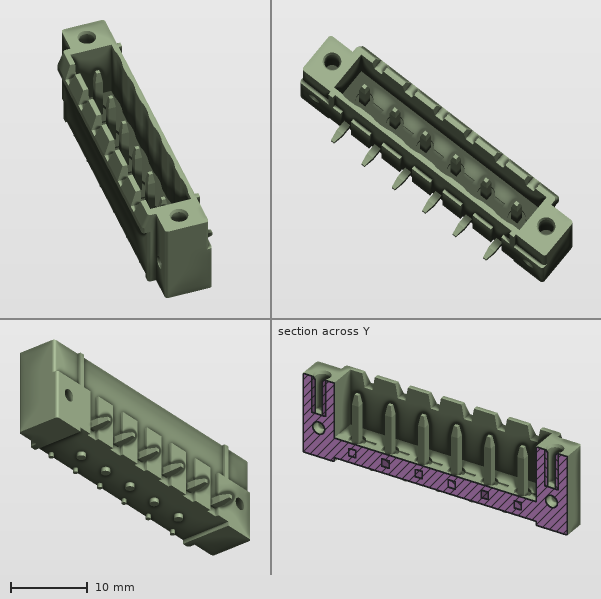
import cadquery as cq


LENGTH = 40.65
HEIGHT = 12.0
EAR_FRONT = -6.5
WALL_FRONT = -7.6
LIP_FRONT = -8.4
WALL_HALF_LENGTH = 16.6
CORNER_RADIUS = 0.4

CORE_BACK = -0.5
LEDGE_HEIGHT = 7.07
RIB_WIDTH = 0.75
PIN_SLOT_WIDTH = 2.05
END_PAD_EDGE = 13.4

LIP_SLOPE_HEIGHT = 2.07
LIP_DEPTH = 3.05
LIP_SLOPE_BOTTOM = HEIGHT - LIP_SLOPE_HEIGHT
LIP_BOTTOM = HEIGHT - LIP_DEPTH

PIN_COUNT = 6
PITCH = 5.1
PIN_Y = -4.1
PIN_SIZE = 1.0
PIN_TIP_SIZE = 0.53
PIN_TAPER = 1.5
PIN_TOP_SETBACK = 1.45
PIN_TOP = HEIGHT - PIN_TOP_SETBACK
TAIL_Z = 2.2
TAIL_END = 2.6
PIN_XS = [(i - (PIN_COUNT - 1) / 2) * PITCH for i in range(PIN_COUNT)]
GAP_XS = [x + PITCH / 2 for x in PIN_XS[:-1]]

CAVITY_HALF_LENGTH = 15.5
CAVITY_FRONT = -6.9
CAVITY_BACK = -1.2
CAVITY_FLOOR = 3.65
SCALLOP_CHORD = 3.25
SCALLOP_DEPTH = 0.2
NOTCH_TOP_WIDTH = 1.9
NOTCH_BOTTOM_WIDTH = 1.18

RECESS_DEPTH = 0.5
KEYWAY_DEPTH = 0.25
RECESS_DIAMETER = 2.3
KEYWAY_WIDTH = 0.95
KEYWAY_REACH = CAVITY_HALF_LENGTH + PIN_XS[0]

RELIEF_HEIGHT = 0.6
SMALL_PEG_DIAMETER = 0.7
SMALL_PEG_SETBACK = 0.5
SMALL_PEG_Y = WALL_FRONT + SMALL_PEG_SETBACK
LARGE_PEG_DIAMETER = 1.2
LARGE_PEG_Y = PIN_Y

EAR_HOLE_X = 17.9
CROSS_HOLE_DIAMETER = 1.75
CROSS_HOLE_Z = 4.4
SLEEVE_Y = -3.78
SLEEVE_DIAMETER = 2.7
SLEEVE_BORE = 2.05
MOUTH_DIAMETER = 2.45
MOUTH_DEPTH = 0.4
SLEEVE_LENGTH = 5.5


def block(x0, x1, y0, y1, z0, z1):
    """Axis-aligned box between two opposite corners."""
    return cq.Workplane("XY").box(x1 - x0, y1 - y0, z1 - z0, centered=False).translate((x0, y0, z0))


def upright_cylinder(diameter, x, y, z0, z1):
    """Cylinder along Z."""
    return cq.Workplane("XY", origin=(x, y, z0)).circle(diameter / 2).extrude(z1 - z0)


def housing_core():
    """Ears and central wall up to the core back face, with rounded upright corners."""
    ears = block(-LENGTH / 2, LENGTH / 2, EAR_FRONT, CORE_BACK, 0, HEIGHT)
    ears = ears.edges("|Z").fillet(CORNER_RADIUS)
    wall = block(-WALL_HALF_LENGTH, WALL_HALF_LENGTH, WALL_FRONT, PIN_Y, 0, LIP_BOTTOM)
    wall = wall.edges("|Z and <Y").fillet(CORNER_RADIUS)
    return ears.union(wall)


def lip():
    """Sloped lip along the top of the front wall, its two end edges rounded."""
    profile = [
        (PIN_Y, HEIGHT),
        (WALL_FRONT, HEIGHT),
        (LIP_FRONT, LIP_SLOPE_BOTTOM),
        (LIP_FRONT, LIP_BOTTOM),
        (PIN_Y, LIP_BOTTOM),
    ]
    bar = cq.Workplane("YZ", origin=(-WALL_HALF_LENGTH, 0, 0)).polyline(profile).close()
    bar = bar.extrude(2 * WALL_HALF_LENGTH)
    end_edges = bar.faces("<X or >X").edges()
    front_edges = end_edges.filter(lambda edge: edge.Center().y < WALL_FRONT)
    return front_edges.fillet(CORNER_RADIUS)


def back_pads():
    """Pads on the back face below the ledge, and two ribs that run on to the top."""
    pads = block(-LENGTH / 2, LENGTH / 2, PIN_Y, 0, 0, LEDGE_HEIGHT)
    pads = pads.edges("|Z and >Y").fillet(CORNER_RADIUS)
    slot_spans = [(x - PIN_SLOT_WIDTH / 2, x + PIN_SLOT_WIDTH / 2) for x in PIN_XS]
    slot_spans[0] = (-END_PAD_EDGE, slot_spans[0][1])
    slot_spans[-1] = (slot_spans[-1][0], END_PAD_EDGE)
    for left, right in slot_spans:
        pads = pads.cut(block(left, right, CORE_BACK, 0, 0, LEDGE_HEIGHT))
    rib_inner = CAVITY_HALF_LENGTH - RIB_WIDTH
    pads = pads.union(block(rib_inner, CAVITY_HALF_LENGTH, CORE_BACK, 0, 0, HEIGHT))
    pads = pads.union(block(-CAVITY_HALF_LENGTH, -rib_inner, CORE_BACK, 0, 0, HEIGHT))
    return pads


def cavity():
    """Mating cavity, its back wall scalloped behind each pin."""
    outline = (
        cq.Workplane("XY", origin=(0, 0, CAVITY_FLOOR))
        .moveTo(CAVITY_HALF_LENGTH, CAVITY_FRONT)
        .lineTo(-CAVITY_HALF_LENGTH, CAVITY_FRONT)
        .lineTo(-CAVITY_HALF_LENGTH, CAVITY_BACK)
    )
    for x in PIN_XS:
        outline = outline.lineTo(x - SCALLOP_CHORD / 2, CAVITY_BACK)
        outline = outline.threePointArc(
            (x, CAVITY_BACK + SCALLOP_DEPTH),
            (x + SCALLOP_CHORD / 2, CAVITY_BACK),
        )
    outline = outline.lineTo(CAVITY_HALF_LENGTH, CAVITY_BACK).close()
    return outline.extrude(HEIGHT - CAVITY_FLOOR)


def notch(x):
    """Tapered notch through the front wall, in line with a pin."""
    profile = [
        (x - NOTCH_TOP_WIDTH / 2, HEIGHT),
        (x + NOTCH_TOP_WIDTH / 2, HEIGHT),
        (x + NOTCH_BOTTOM_WIDTH / 2, LIP_SLOPE_BOTTOM),
        (x - NOTCH_BOTTOM_WIDTH / 2, LIP_SLOPE_BOTTOM),
    ]
    wedge = cq.Workplane("XZ", origin=(0, PIN_Y, 0)).polyline(profile).close()
    return wedge.extrude(PIN_Y - LIP_FRONT)


def keyhole_recess(x):
    """Round recess around a pin with a shallower keyway toward -X."""
    ring = upright_cylinder(RECESS_DIAMETER, x, PIN_Y, CAVITY_FLOOR - RECESS_DEPTH, CAVITY_FLOOR)
    keyway = block(
        x - KEYWAY_REACH,
        x,
        PIN_Y - KEYWAY_WIDTH / 2,
        PIN_Y + KEYWAY_WIDTH / 2,
        CAVITY_FLOOR - KEYWAY_DEPTH,
        CAVITY_FLOOR,
    )
    return ring.union(keyway)


def cross_hole(x):
    """Hole through an ear from front to back."""
    hole = cq.Workplane("XZ", origin=(x, 0, CROSS_HOLE_Z)).circle(CROSS_HOLE_DIAMETER / 2)
    return hole.extrude(-EAR_FRONT)


def underside_relief():
    """Clearance under the housing between its two feet."""
    return block(-CAVITY_HALF_LENGTH, CAVITY_HALF_LENGTH, LIP_FRONT, 0, 0, RELIEF_HEIGHT)


def make_pin(x):
    """Square pin bent at a right angle, tapered at the contact tip and at the tail."""
    half = PIN_SIZE / 2
    taper_start = PIN_TOP - PIN_TAPER
    tail_taper_start = TAIL_END - PIN_TAPER
    contact = block(x - half, x + half, PIN_Y - half, PIN_Y + half, TAIL_Z - half, taper_start)
    tail = block(x - half, x + half, PIN_Y, tail_taper_start, TAIL_Z - half, TAIL_Z + half)
    contact_tip = (
        cq.Workplane("XY", origin=(x, PIN_Y, taper_start))
        .rect(PIN_SIZE, PIN_SIZE)
        .workplane(offset=PIN_TAPER)
        .rect(PIN_TIP_SIZE, PIN_TIP_SIZE)
        .loft()
    )
    tail_tip = (
        cq.Workplane("XZ", origin=(x, tail_taper_start, TAIL_Z))
        .rect(PIN_SIZE, PIN_SIZE)
        .workplane(offset=-PIN_TAPER)
        .rect(PIN_TIP_SIZE, PIN_TIP_SIZE)
        .loft()
    )
    return contact.union(tail).union(contact_tip).union(tail_tip)


def sleeve_pocket(x):
    """Blind round pocket that holds a sleeve."""
    return upright_cylinder(SLEEVE_DIAMETER, x, SLEEVE_Y, HEIGHT - SLEEVE_LENGTH, HEIGHT)


def make_sleeve(x):
    """Insert sleeve, flush with the ear top, its bore flared at the mouth."""
    bore = upright_cylinder(SLEEVE_BORE, x, SLEEVE_Y, HEIGHT - SLEEVE_LENGTH, HEIGHT)
    flare = (
        cq.Workplane("XY", origin=(x, SLEEVE_Y, HEIGHT - MOUTH_DEPTH))
        .circle(SLEEVE_BORE / 2)
        .workplane(offset=MOUTH_DEPTH)
        .circle(MOUTH_DIAMETER / 2)
        .loft()
    )
    return sleeve_pocket(x).cut(bore).cut(flare)


def make_housing(pins):
    """Housing with every opening cut, including the bent channels that the pins fill."""
    body = housing_core().union(lip()).union(back_pads())
    body = body.cut(cavity()).cut(underside_relief())
    for x in PIN_XS:
        body = body.cut(notch(x)).cut(keyhole_recess(x))
        body = body.union(upright_cylinder(SMALL_PEG_DIAMETER, x, SMALL_PEG_Y, 0, RELIEF_HEIGHT))
    for x in GAP_XS:
        body = body.union(upright_cylinder(LARGE_PEG_DIAMETER, x, LARGE_PEG_Y, 0, RELIEF_HEIGHT))
    for x in (-EAR_HOLE_X, EAR_HOLE_X):
        body = body.cut(cross_hole(x)).cut(sleeve_pocket(x))
    for pin in pins:
        body = body.cut(pin)
    return body


pins = [make_pin(x) for x in PIN_XS]
sleeves = [make_sleeve(x) for x in (-EAR_HOLE_X, EAR_HOLE_X)]
housing = make_housing(pins)

result = cq.Compound.makeCompound([
    housing.val(),
    *[pin.val() for pin in pins],
    *[sleeve.val() for sleeve in sleeves],
])